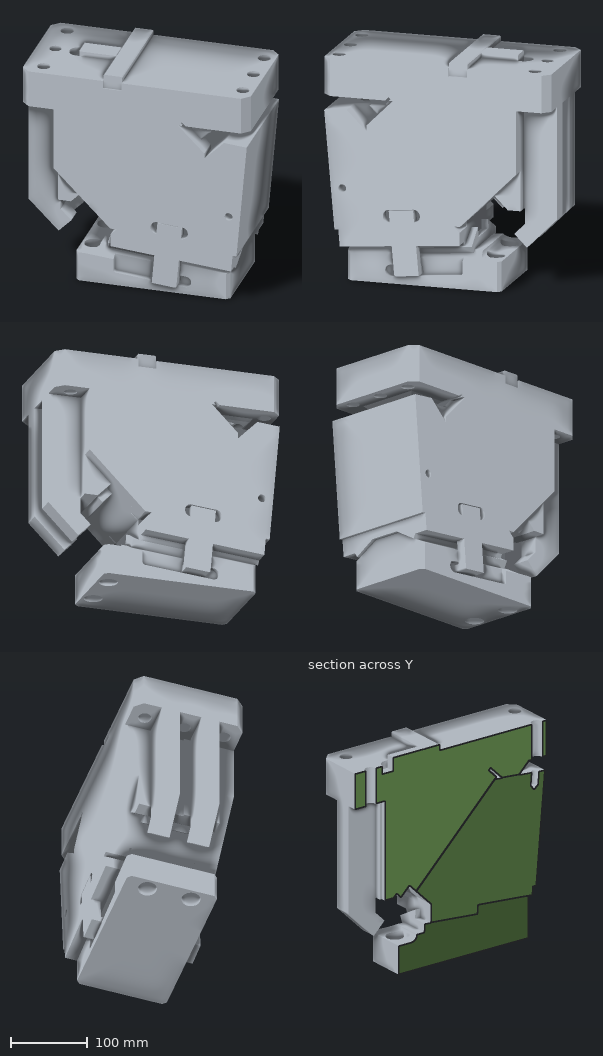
import cadquery as cq
import math

WIDTH = 150.0
LENGTH = 310.0
HEIGHT = 309.0
HALF_WIDTH = WIDTH / 2
ROOT2 = math.sqrt(2)

PLATE_TOP = 301.0
PLATE_BOTTOM = 250.5
PLATE_CORNER = 10.5
LEG_BACK = 45.0
LEG_INNER = 15.0
LEG_OUTER = 39.7
LEG_HEEL = 98.3
LEG_TOE_DROP = 41.2
LEG_TOE_LIP = 17.5
LEG_SHOULDER = 44.0
CORE_HALF = 55.5
CORE_BOTTOM = 110.0
GROOVE_HALF = 6.5
GROOVE_DEPTH = 3.0
NOSE_Z = 87.7
CHEEK_END_X = 250.0

CAM_X = 126.2
CAM_Z = 83.5
CAM_RISE = CAM_Z - CAM_X
REAR_SUM = CAM_Z + CAM_X
CHEEK_END = 180.0
INNER_END = 183.8
NOTCH_END = 187.5
NOTCH_TOP = 55.8
NECK_TOP = 18.5
HEAD_TOP = 38.0
HEAD_ROUND = 2.5
CAM_LEAD = 15.5
CAM_REACH = 217.0
NECK_HALF = 42.5
NECK_SLOT_HALF = 45.3
BAR_LOW = 54.0
BAR_HIGH = 64.0
BAR_REACH = 19.2
WEDGE_LOW = 8.5
WEDGE_FLARE = 3.7
DIMPLE_X = 262.5
DIMPLE_Z = 233.7
DIMPLE_RADIUS = 8.5

KEY_WIDTH = 25.5
KEY_BEVEL = 1.2
CROSS_KEY_X = 124.5
CROSS_KEY_HALF = 72.5
KEYWAY_FLOOR = 290.2
LONG_KEY_START = 61.7
KEYWAY_END = 44.5
REAR_HOLE_X = 25.5
REAR_HOLE_Y = 54.5
FRONT_HOLE_X = 294.8
FRONT_HOLE_Y = 49.5
HOLE_RADIUS = 8.7
REAR_CENTRE_RADIUS = 8.0

TILT = math.radians(5)
SLIDE_X = 122.5
SLIDE_Z = 62.3
SLIDE_TOP = 184.0
SLIDE_FRONT = 169.5
SLIDE_JOG = 23.2
SLIDE_JOG_FRONT = 164.3
SIDE_HOLE_X = 282.7
SIDE_HOLE_Z = 127.0
SIDE_HOLE_RADIUS = 5.3
SIDE_HOLE_DEPTH = 18.5
TOP_HOLE_X = 291.7
TOP_HOLE_RADIUS = 5.5
TOP_HOLE_DEPTH = 18.5

ROOF_SLOPE = math.radians(30)
RIDGE_HALF = 21.7
RIDGE_HIGH = 11.2
WEAR_THICKNESS = 11.2
GUIDE_EDGE = 51.0
WEAR_EDGE = 53.5
WEAR_OVERHANG = 9.5
ROOF_STEP = 76.3

HOOK_START = 59.5
HOOK_END = 93.0
HOOK_BOTTOM = -40.5
HOOK_TOP = 47.5
HOOK_ROUND = 2.5
HOOK_GAP = 1.2
EAR_UP = 40.3
EAR_RADIUS = 8.7
TOE_HEIGHT = 9.3

BASE_START = 70.5
BASE_END = 280.2
BASE_HALF = 62.0
BASE_CORNER = 5.0
BELOW = 124.0
BASE_FLOOR = 40.5
SHELF_Z = 49.5
SHELF_START = 99.8
BASE_HOLE_X = 86.2
BASE_HOLE_Y = 30.0
BASE_HOLE_RADIUS = 12.5
POCKET_BACK = 54.2
POCKET_START = SLIDE_X
POCKET_FLOOR = -43.7
POCKET_ROUND = 3.7
NOSE_ALONG = 101.5
NOSE_RADIUS = 7.8


def cam(along, above):
    """XZ point given along and square to the 45-degree cam face."""
    return (CAM_X + (along - above) / ROOT2, CAM_Z + (along + above) / ROOT2)


def tilted(along, up):
    """XZ point given in the slide's tilted frame."""
    return (
        SLIDE_X + along * math.cos(TILT) + up * math.sin(TILT),
        SLIDE_Z - along * math.sin(TILT) + up * math.cos(TILT),
    )


def slab(points, y_from, y_to):
    """XZ outline extruded between two Y positions."""
    plane = cq.Workplane("XZ", origin=(0, y_from, 0))
    return plane.polyline(points).close().extrude(y_from - y_to)


def centred(points, half):
    return slab(points, -half, half)


def cam_bar(along_from, along_to, low, high, half):
    """Rectangular bar parallel to the cam face."""
    corners = [cam(along_from, low), cam(along_to, low), cam(along_to, high), cam(along_from, high)]
    return centred(corners, half)


def tongue_head(along_from):
    """Head of the T-shaped tongue, with rounded shoulders."""
    bar = cam_bar(along_from, CAM_REACH, NECK_TOP, HEAD_TOP, CORE_HALF)
    return bar.edges("|(1, 0, 1) and <(-1, 0, 1)").fillet(HEAD_ROUND)


def tilted_bar(along_from, along_to, low, high, y_from, y_to):
    """Rectangular bar parallel to the slide's underside."""
    corners = [
        tilted(along_from, low), tilted(along_to, low),
        tilted(along_to, high), tilted(along_from, high),
    ]
    return slab(corners, y_from, y_to)


def tilted_prism(section, along_from, along_to):
    """Cross-section (Y, up) swept along the slide's travel direction."""
    x, z = tilted(along_from, 0)
    plane = cq.Plane(origin=(x, 0, z), xDir=(0, 1, 0), normal=(math.cos(TILT), 0, -math.sin(TILT)))
    return cq.Workplane(plane).polyline(section).close().extrude(along_to - along_from)


def box(x_from, x_to, y_from, y_to, z_from, z_to):
    size = (x_to - x_from, y_to - y_from, z_to - z_from)
    return cq.Workplane("XY").box(*size, centered=False).translate((x_from, y_from, z_from))


def mirrored(points):
    """Close a half cross-section by mirroring it across Y = 0."""
    return points + [(-y, up) for y, up in reversed(points)]


def upright_holes(points, radius):
    """Vertical cylinders running through the full height."""
    return cq.Workplane("XY").pushPoints(points).circle(radius).extrude(HEIGHT)


ridge_low = RIDGE_HIGH - WEAR_THICKNESS / math.cos(ROOF_SLOPE)


def roof_up(y, ridge):
    return ridge - (y - RIDGE_HALF) * math.tan(ROOF_SLOPE)


guide_edge_up = roof_up(GUIDE_EDGE, RIDGE_HIGH)
guide_root = GUIDE_EDGE - guide_edge_up * math.tan(ROOF_SLOPE)
pad_edge = WEAR_EDGE - WEAR_THICKNESS * math.sin(ROOF_SLOPE)
pad_top = roof_up(WEAR_EDGE, RIDGE_HIGH)
pad_edge_up = roof_up(pad_edge, ridge_low)


def plate():
    middle = (PLATE_TOP + PLATE_BOTTOM) / 2
    blank = cq.Workplane("XY").box(LENGTH, WIDTH, PLATE_TOP - PLATE_BOTTOM)
    return blank.translate((LENGTH / 2, 0, middle)).edges("|Z").chamfer(PLATE_CORNER)


def block():
    """Cheeks with the rear slope, the cam face and the front end; T-slot cut through."""
    outline = [
        (LEG_BACK, PLATE_BOTTOM),
        (LEG_BACK, REAR_SUM - LEG_BACK),
        (REAR_SUM - NOSE_Z, NOSE_Z),
        (NOSE_Z - CAM_RISE, NOSE_Z),
        (CHEEK_END_X, CHEEK_END_X + CAM_RISE),
        (CHEEK_END_X, sum(cam(CHEEK_END, 0)) - CHEEK_END_X),
        cam(CHEEK_END, NOTCH_TOP),
        (cam(CHEEK_END, NOTCH_TOP)[0], PLATE_BOTTOM),
    ]
    inner = cam_bar(CHEEK_END / 2, INNER_END, HEAD_TOP, NOTCH_TOP, CORE_HALF)
    body = centred(outline, HALF_WIDTH).union(inner)
    neck = cam_bar(-CAM_LEAD, CAM_REACH, -CAM_LEAD, NECK_TOP, NECK_SLOT_HALF)
    head = tongue_head(-CAM_LEAD)
    return body.cut(neck).cut(head)


def core():
    """Stem behind the legs, with the stop bar along its inclined edge."""
    outline = [
        (LEG_BACK, PLATE_BOTTOM),
        (LEG_BACK, CORE_BOTTOM),
        (CORE_BOTTOM - CAM_RISE - BAR_HIGH * ROOT2, CORE_BOTTOM),
        cam(0, BAR_HIGH),
        cam(CHEEK_END / 2, BAR_HIGH),
    ]
    stem = centred(outline, CORE_HALF)
    bar = cam_bar(-BAR_REACH, BAR_REACH, BAR_LOW, BAR_HIGH, LEG_OUTER)
    return stem.union(bar)


def leg(side):
    lip = (LEG_TOE_DROP + LEG_TOE_LIP, LEG_HEEL - LEG_TOE_DROP + LEG_TOE_LIP)
    outline = [
        (0, PLATE_BOTTOM),
        (0, LEG_HEEL),
        (LEG_TOE_DROP, LEG_HEEL - LEG_TOE_DROP),
        lip,
        (LEG_SHOULDER, lip[1] + lip[0] - LEG_SHOULDER),
        (LEG_SHOULDER, CORE_BOTTOM),
        (LEG_BACK, CORE_BOTTOM),
        (LEG_BACK, PLATE_BOTTOM),
    ]
    return slab(outline, side * LEG_INNER, side * LEG_OUTER)


def wedge():
    """Inclined stop under the front of the plate, with a round dimple on each side."""
    notch_sum = sum(cam(NOTCH_END, 0))
    front_rise = CAM_RISE + WEDGE_LOW * ROOT2
    outline = [
        (notch_sum - PLATE_BOTTOM, PLATE_BOTTOM),
        cam(NOTCH_END, WEDGE_LOW),
        (PLATE_BOTTOM - front_rise, PLATE_BOTTOM),
    ]
    shoulder = PLATE_BOTTOM - WEDGE_FLARE
    section = mirrored([
        (LEG_OUTER + WEDGE_FLARE, PLATE_BOTTOM), (LEG_OUTER, shoulder), (LEG_OUTER, 0),
    ])
    flared = cq.Workplane("YZ").polyline(section).close().extrude(LENGTH)
    slide_space = tilted_bar(0, LENGTH, 0, SLIDE_TOP, -HALF_WIDTH, HALF_WIDTH)
    body = centred(outline, HALF_WIDTH).intersect(flared).cut(slide_space)
    for side in (-1, 1):
        dimple = cq.Workplane("XY").sphere(DIMPLE_RADIUS)
        body = body.cut(dimple.translate((DIMPLE_X, side * LEG_OUTER, DIMPLE_Z)))
    return body


def keyways():
    half = KEY_WIDTH / 2
    left, right = CROSS_KEY_X - half, CROSS_KEY_X + half
    cross = box(left, right, -HALF_WIDTH, HALF_WIDTH, KEYWAY_FLOOR, PLATE_TOP)
    long = box(KEYWAY_END + half, left, -half, half, KEYWAY_FLOOR, PLATE_TOP)
    end = cq.Workplane("XY", origin=(KEYWAY_END + half, 0, KEYWAY_FLOOR)).circle(half)
    return cross.union(long).union(end.extrude(PLATE_TOP - KEYWAY_FLOOR))


def keys():
    half = KEY_WIDTH / 2
    left, right = CROSS_KEY_X - half, CROSS_KEY_X + half
    cross = box(left, right, -CROSS_KEY_HALF, CROSS_KEY_HALF, KEYWAY_FLOOR, HEIGHT)
    cross = cross.edges("|Y and >Z").chamfer(KEY_BEVEL)
    long = box(LONG_KEY_START, left, -half, half, KEYWAY_FLOOR, HEIGHT)
    long = long.edges("|X and >Z").chamfer(KEY_BEVEL)
    return cross.union(long)


def make_cam_holder():
    body = plate().union(block()).union(core())
    for side in (-1, 1):
        body = body.union(leg(side))
    notch = cam_bar(INNER_END, NOTCH_END, -CAM_LEAD, NOTCH_TOP, HALF_WIDTH)
    groove = box(0, LEG_BACK + GROOVE_DEPTH, -GROOVE_HALF, GROOVE_HALF, CORE_BOTTOM, PLATE_BOTTOM)
    body = body.cut(notch).cut(groove).union(wedge())
    rear_pair = [(REAR_HOLE_X, side * REAR_HOLE_Y) for side in (-1, 1)]
    front_row = [(FRONT_HOLE_X, row * FRONT_HOLE_Y) for row in (-1, 0, 1)]
    body = body.cut(upright_holes(rear_pair + front_row, HOLE_RADIUS))
    body = body.cut(upright_holes([(REAR_HOLE_X, 0)], REAR_CENTRE_RADIUS))
    return body.cut(keyways()).union(keys())


def slide_outline():
    """Full-width wedge between the cam face and the tilted underside."""
    top_x, top_z = tilted(0, SLIDE_TOP)
    crest_x = (top_z + top_x * math.tan(TILT) - CAM_RISE) / (1 + math.tan(TILT))
    return centred([
        (SLIDE_X, SLIDE_Z),
        (SLIDE_X, SLIDE_X + CAM_RISE),
        (crest_x, crest_x + CAM_RISE),
        tilted(SLIDE_FRONT, SLIDE_TOP),
        tilted(SLIDE_FRONT, SLIDE_JOG),
        tilted(SLIDE_JOG_FRONT, SLIDE_JOG),
        tilted(SLIDE_JOG_FRONT, 0),
    ], HALF_WIDTH)


def guide_tongue():
    """T-shaped tongue on the cam face, trimmed by the slide's top."""
    neck = centred([
        (SLIDE_X, SLIDE_Z),
        (SLIDE_X, REAR_SUM - SLIDE_X),
        cam(0, NECK_TOP),
        cam(CAM_REACH, NECK_TOP),
        cam(CAM_REACH, 0),
        (CAM_X, SLIDE_Z),
    ], NECK_HALF)
    head = tongue_head(0)
    below_top = tilted_bar(-LENGTH, LENGTH, -LENGTH, SLIDE_TOP, -HALF_WIDTH, HALF_WIDTH)
    return neck.union(head).intersect(below_top)


def roof(ridge, along_from, along_to):
    """Everything under a roof surface, as wide as the base."""
    section = mirrored([(BASE_HALF, -BELOW), (BASE_HALF, roof_up(BASE_HALF, ridge)), (RIDGE_HALF, ridge)])
    return tilted_prism(section, along_from, along_to)


def guide_rails():
    """Material below the slide's underside that is hollowed out by the roof."""
    front = mirrored([(guide_root, 0), (GUIDE_EDGE, guide_edge_up)])
    rear = mirrored([
        (guide_root, 0), (GUIDE_EDGE, guide_edge_up), (WEAR_EDGE, pad_top), (pad_edge, pad_edge_up),
    ])
    rails = tilted_prism(front, ROOF_STEP, SLIDE_JOG_FRONT)
    return rails.union(tilted_prism(rear, 0, ROOF_STEP))


def wear_pad_end(side):
    """Rear end of a sloped wear pad, standing out behind the slide."""
    section = [
        (WEAR_EDGE, pad_top), (RIDGE_HALF, RIDGE_HIGH),
        (RIDGE_HALF, ridge_low), (pad_edge, pad_edge_up),
    ]
    return tilted_prism([(side * y, up) for y, up in section], -WEAR_OVERHANG, WEAR_OVERHANG)


def hook_recess(side):
    """Ears at the hook's upper corners and the gap along its top edge."""
    outer = side * HALF_WIDTH
    inner = side * BASE_HALF
    cut = tilted_bar(HOOK_START, HOOK_END, HOOK_TOP, HOOK_TOP + HOOK_GAP, inner, outer)
    for along in (HOOK_START, HOOK_END):
        x, z = tilted(along, EAR_UP)
        ear = cq.Workplane("XZ", origin=(x, inner, z)).circle(EAR_RADIUS).extrude(inner - outer)
        cut = cut.union(ear)
    return cut.cut(tilted_bar(HOOK_START, HOOK_END, HOOK_BOTTOM, HOOK_TOP, inner, outer))


def hook(side):
    """Leg outside the base, with a toe reaching into the base's side pocket."""
    inner = side * BASE_HALF
    leg_bar = tilted_bar(HOOK_START, HOOK_END, HOOK_BOTTOM, EAR_UP, inner, side * HALF_WIDTH)
    toe = tilted_bar(HOOK_START, HOOK_END, HOOK_BOTTOM, HOOK_BOTTOM + TOE_HEIGHT, side * POCKET_BACK, inner)
    return leg_bar.union(toe).edges("|Y and <Z").fillet(HOOK_ROUND)


def drilled(mouth, direction, radius, depth):
    """Blind drilled hole with a 90-degree conical tip."""
    axis = cq.Vector(*direction)
    start = cq.Vector(*mouth)
    shank = cq.Solid.makeCylinder(radius, depth, start, axis)
    tip = cq.Solid.makeCone(radius, 0, radius, start + axis * depth, axis)
    return cq.Workplane(obj=shank.fuse(tip))


def side_hole(side):
    mouth = (SIDE_HOLE_X, side * HALF_WIDTH, SIDE_HOLE_Z)
    return drilled(mouth, (0, -side, 0), SIDE_HOLE_RADIUS, SIDE_HOLE_DEPTH)


def top_hole():
    """Blind hole square to the slide's tilted top."""
    top_x, top_z = tilted(0, SLIDE_TOP)
    centre = (TOP_HOLE_X, 0, top_z - (TOP_HOLE_X - top_x) * math.tan(TILT))
    return drilled(centre, (-math.sin(TILT), 0, -math.cos(TILT)), TOP_HOLE_RADIUS, TOP_HOLE_DEPTH)


def make_slide():
    body = slide_outline().union(guide_tongue()).union(guide_rails())
    body = body.cut(roof(ridge_low, 0, ROOF_STEP))
    body = body.cut(roof(RIDGE_HIGH, ROOF_STEP, LENGTH))
    for side in (-1, 1):
        body = body.union(wear_pad_end(side)).cut(hook_recess(side))
        body = body.union(hook(side)).cut(side_hole(side))
    return body.cut(top_hole())


def base_blank():
    blank = box(BASE_START, BASE_END, -BASE_HALF, BASE_HALF, 0, SLIDE_Z + RIDGE_HIGH)
    blank = blank.edges("|Z").chamfer(BASE_CORNER)
    roofs = roof(ridge_low, -LENGTH, ROOF_STEP).union(roof(RIDGE_HIGH, ROOF_STEP, LENGTH))
    return blank.intersect(roofs)


def shelf_clearance():
    """Space above the rear floor and shelf, with a concave round between the two."""
    rise = SHELF_Z - BASE_FLOOR
    inset = rise / ROOT2
    roof_foot = tilted(-WEAR_OVERHANG, 0)
    roof_foot_x = roof_foot[0] - (roof_foot[1] - SHELF_Z) * math.tan(TILT)
    roof_head = tilted(-WEAR_OVERHANG, RIDGE_HALF)
    outline = cq.Workplane("XZ", origin=(0, BASE_HALF, 0)).moveTo(0, BASE_FLOOR)
    outline = outline.lineTo(SHELF_START - rise, BASE_FLOOR)
    bend = (SHELF_START - rise + inset, SHELF_Z - inset)
    outline = outline.threePointArc(bend, (SHELF_START, SHELF_Z))
    outline = outline.lineTo(roof_foot_x, SHELF_Z).lineTo(*roof_head).lineTo(0, roof_head[1])
    return outline.close().extrude(2 * BASE_HALF)


def side_pocket(side):
    """Pocket open at the top, ending in a round-nosed undercut that the toe slides into."""
    back = side * POCKET_BACK
    outer = side * HALF_WIDTH
    start_floor = SLIDE_Z + POCKET_FLOOR / math.cos(TILT)
    run = slab([
        (POCKET_START, start_floor), tilted(HOOK_END, POCKET_FLOOR),
        tilted(HOOK_END, BELOW), (POCKET_START, BELOW),
    ], back, outer)
    corner = (POCKET_START, (back + outer) / 2, start_floor)
    run = run.edges(cq.selectors.NearestToPointSelector(corner)).fillet(POCKET_ROUND)
    nose_up = POCKET_FLOOR + NOSE_RADIUS
    nose_x, nose_z = tilted(NOSE_ALONG, nose_up)
    nose = cq.Workplane("XZ", origin=(nose_x, back, nose_z)).circle(NOSE_RADIUS).extrude(back - outer)
    link = tilted_bar(HOOK_START, NOSE_ALONG, POCKET_FLOOR, nose_up + NOSE_RADIUS, back, outer)
    return run.union(nose).union(link)


def make_base():
    body = base_blank().cut(shelf_clearance())
    holes = [(BASE_HOLE_X, side * BASE_HOLE_Y) for side in (-1, 1)]
    body = body.cut(upright_holes(holes, BASE_HOLE_RADIUS))
    for side in (-1, 1):
        body = body.cut(side_pocket(side))
    return body


cam_holder = make_cam_holder()
slide = make_slide()
base = make_base()

result = cq.Compound.makeCompound([cam_holder.solids().val(), slide.solids().val(), base.solids().val()])